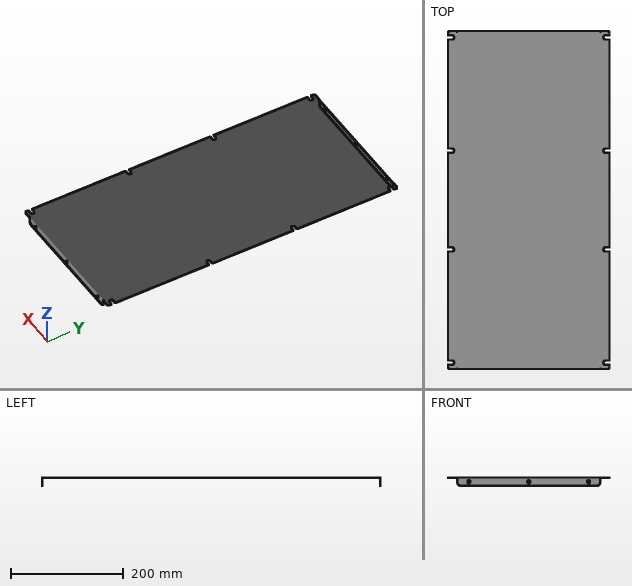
import cadquery as cq

length = 599.5
width = 286.5
thickness = 1.0
ear_corner_radius = 3.5

flange_width = 253.5
flange_height = 15.0
flange_corner_radius = 6.0
bend_outer_radius = 1.5
bend_inner_radius = bend_outer_radius - thickness

hole_diameter = 5.0
hole_pitch = 106.0
hole_depth_below_top = 8.0

slot_width = 7.0
slot_depth = 11.0
outer_slot_y = 288.5
inner_slot_y = 87.5


def make_sheet():
    """Flat plate with rounded corner ears."""
    return (
        cq.Workplane("XY")
        .box(width, length, thickness, centered=(True, True, False))
        .edges("|Z")
        .fillet(ear_corner_radius)
        .translate((0, 0, -thickness))
    )


def make_folded_body():
    """Plate section with a rounded bend and a flange at both ends."""
    outer = (
        cq.Workplane("XY")
        .box(flange_width, length, flange_height, centered=(True, True, False))
        .translate((0, 0, -flange_height))
        .edges("|X and >Z")
        .fillet(bend_outer_radius)
        .edges("|Y and <Z")
        .fillet(flange_corner_radius)
    )
    inner = (
        cq.Workplane("XY")
        .box(flange_width, length - 2 * thickness, flange_height, centered=(True, True, False))
        .translate((0, 0, -flange_height - thickness))
        .edges("|X and >Z")
        .fillet(bend_inner_radius)
    )
    return outer.cut(inner)


def make_bend_clearance():
    """Strips of flat sheet to remove where the bends replace it."""
    return (
        cq.Workplane("XY")
        .pushPoints([(0, side * (length - bend_outer_radius) / 2) for side in (-1, 1)])
        .rect(flange_width, bend_outer_radius)
        .extrude(-thickness)
    )


def make_slots():
    """Round-ended slot cutters, centred on the long edges."""
    centres = [
        (side * width / 2, y)
        for side in (-1, 1)
        for y in (-outer_slot_y, -inner_slot_y, inner_slot_y, outer_slot_y)
    ]
    return cq.Workplane("XY").pushPoints(centres).slot2D(2 * slot_depth, slot_width).extrude(-thickness)


def make_flange_holes():
    """Cylinders running through both flanges."""
    return (
        cq.Workplane("XZ")
        .pushPoints([(x, -hole_depth_below_top) for x in (-hole_pitch, 0, hole_pitch)])
        .circle(hole_diameter / 2)
        .extrude(length / 2, both=True)
    )


result = (
    make_sheet()
    .cut(make_bend_clearance())
    .union(make_folded_body())
    .cut(make_slots())
    .cut(make_flange_holes())
)